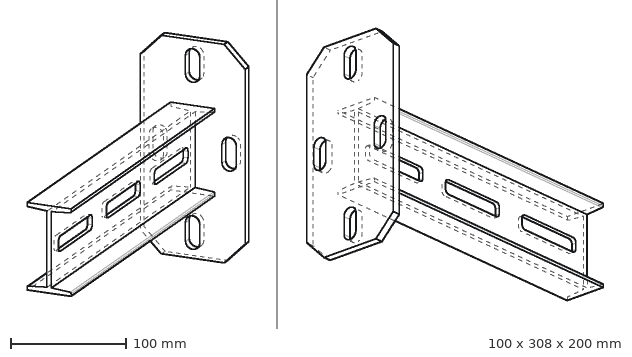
import cadquery as cq

total_length = 308.0
plate_width = 100.0
plate_height = 200.0
plate_thickness = 8.0
plate_corner_cut = 20.0

mount_slot_length = 30.5
mount_slot_width = 13.5
side_slot_offset = 34.8
end_slot_offset = 76.5

beam_length = total_length - plate_thickness
beam_width = 42.0
beam_height = 80.0
web_thickness = 4.5
flange_tip_thickness = 3.7
flange_root_thickness = 5.2
flange_tip_radius = 1.2

web_slot_count = 3
web_slot_length = 70.2
web_slot_height = 14.0
web_slot_corner_radius = 4.0
web_slot_pitch = 100.0
web_slot_end_distance = web_slot_pitch / 2


def make_plate():
    """Wall plate with cut corners and four mounting slots; its front face is at Y = 0."""
    plate = (
        cq.Workplane("XY")
        .box(plate_width, plate_thickness, plate_height)
        .edges("|Y")
        .chamfer(plate_corner_cut)
        .translate((0, plate_thickness / 2, 0))
    )
    slot_centres = [
        (-side_slot_offset, 0),
        (side_slot_offset, 0),
        (0, -end_slot_offset),
        (0, end_slot_offset),
    ]
    slots = (
        cq.Workplane("XZ")
        .pushPoints(slot_centres)
        .slot2D(mount_slot_length, mount_slot_width, 90)
        .extrude(-plate_thickness)
    )
    return plate.cut(slots)


def make_beam_blank():
    """Plain I-beam from the plate face at Y = 0 to the free end."""
    half_width = beam_width / 2
    half_height = beam_height / 2
    half_web = web_thickness / 2
    tip_z = half_height - flange_tip_thickness
    root_z = half_height - flange_root_thickness
    beam = (
        cq.Workplane("XZ")
        .moveTo(-half_width, half_height)
        .lineTo(half_width, half_height)
        .lineTo(half_width, tip_z)
        .lineTo(half_web, root_z)
        .lineTo(half_web, -root_z)
        .lineTo(half_width, -tip_z)
        .lineTo(half_width, -half_height)
        .lineTo(-half_width, -half_height)
        .lineTo(-half_width, -tip_z)
        .lineTo(-half_web, -root_z)
        .lineTo(-half_web, root_z)
        .lineTo(-half_width, tip_z)
        .close()
        .extrude(beam_length)
    )
    tip_edges = cq.selectors.BoxSelector(
        (-beam_width, -beam_length, -tip_z - flange_tip_radius),
        (beam_width, 0, tip_z + flange_tip_radius),
    ) - cq.selectors.BoxSelector(
        (-web_thickness, -beam_length, -half_height),
        (web_thickness, 0, half_height),
    )
    return beam.edges("|Y").edges(tip_edges).fillet(flange_tip_radius)


def make_web_slot(centre_y):
    """Cutter for one round-cornered opening through the web."""
    return (
        cq.Workplane("XY")
        .box(beam_width, web_slot_length, web_slot_height)
        .edges("|X")
        .fillet(web_slot_corner_radius)
        .translate((0, centre_y, 0))
    )


def make_beam():
    """I-beam with its row of web openings."""
    beam = make_beam_blank()
    for index in range(web_slot_count):
        centre_y = -beam_length + web_slot_end_distance + index * web_slot_pitch
        beam = beam.cut(make_web_slot(centre_y))
    return beam


plate = make_plate()
beam = make_beam()

result = cq.Compound.makeCompound([plate.solids().val(), beam.solids().val()])